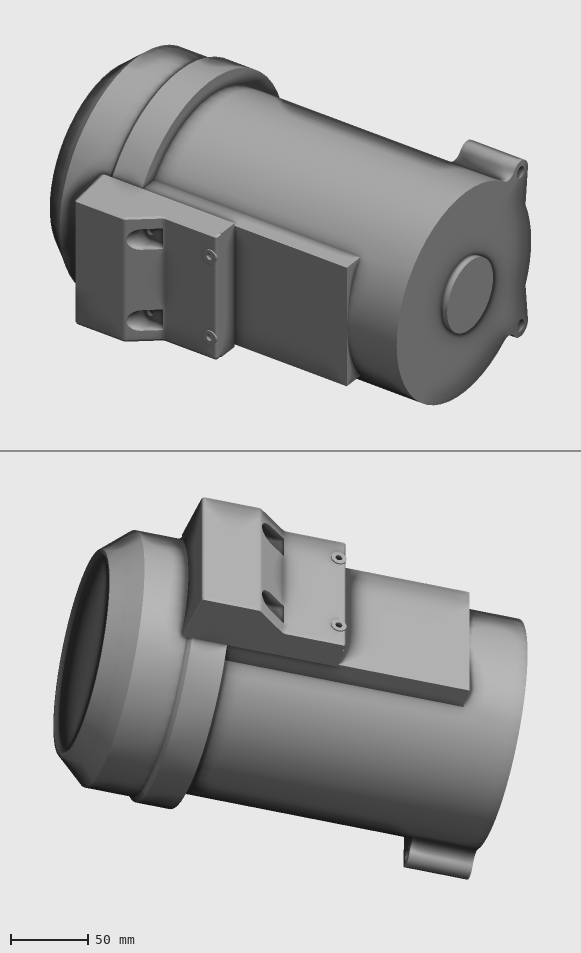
import cadquery as cq
import math


COVER_LENGTH = 77.0
RING_RADIUS = 88.0
RING_START = 53.5
BELL_RADIUS = 85.0
BELL_START = 19.0
RIM_RADIUS = 68.8
RECESS_MOUTH_RADIUS = 67.0
RECESS_FLOOR_RADIUS = 63.5
RECESS_DEPTH = 2.3

TOTAL_LENGTH = 283.0
HOUSING_RADIUS = 76.5
BOSS_RADIUS = 26.0
BOSS_LENGTH = 4.8
HOUSING_END = TOTAL_LENGTH - BOSS_LENGTH

PAD_END = 239.0
PAD_HALF_HEIGHT = 45.5
PAD_FACE_Y = -76.7
PAD_INNER_Y = -56.5

LUG_LENGTH = 42.5
LUG_RADIUS = 8.5
LUG_CENTRE_Y = 64.2
LUG_CENTRE_Z = 59.0
LUG_HOLE_RADIUS = 4.2
LUG_FOOT_Y = 70.0
LUG_BLEND_RADIUS = 8.0

BOX_HALF_HEIGHT = 47.5
BOX_END = 150.8
BASE_START = 90.3
BASE_FRONT_Y = -91.7
NOTCH_START = 104.1
NOTCH_END = 128.2
NOTCH_DEPTH = 3.7

LID_START = 46.5
LID_FRONT_START = 50.0
LID_FRONT_Y = -113.0
LID_LOW_Y = -97.0
SLOPE_START = 89.1
SLOPE_END = 109.2
LID_CORNER_RADIUS = 2.0
SLOPE_TOP_RADIUS = 4.2
SLOPE_FOOT_RADIUS = 5.5
LID_BEVEL_IN_PROFILE = 1.7
LID_BEVEL_IN_HEIGHT = 0.8

SCREW_Z = 31.0
POCKET_HOLE_X = 96.8
POCKET_HOLE_RADIUS = 2.8
POCKET_ARC_X = 98.2
POCKET_RADIUS = 8.0
POCKET_END = 109.0
POCKET_FLOOR_Y = -94.5
POCKET_FLOOR_FILLET = 2.3
EYE_RADIUS = 5.0
EYE_X = BOX_END - EYE_RADIUS
EYE_HEIGHT = 0.8
EYE_HOLE_RADIUS = 2.3


def block(x_range, y_range, half_height):
    """A box between two X and two Y values, centred on Z = 0."""
    return (
        cq.Workplane("XY", origin=(0, 0, -half_height))
        .moveTo(x_range[0], y_range[0])
        .rect(x_range[1] - x_range[0], y_range[1] - y_range[0], centered=False)
        .extrude(2 * half_height)
    )


def disc(radius, start_x, end_x):
    """A solid cylinder on the motor axis."""
    return cq.Workplane("YZ", origin=(start_x, 0, 0)).circle(radius).extrude(end_x - start_x)


def y_cylinder(radius, x, z, back_y, front_y):
    """A cylinder along Y, from back_y out to front_y on the -Y side."""
    return (
        cq.Workplane("XZ", origin=(0, back_y, 0))
        .center(x, z)
        .circle(radius)
        .extrude(back_y - front_y)
    )


def point_on_circle(centre_y, centre_z, radius, angle):
    """The (Y, Z) point at an angle, in radians from +Y, on a circle in the YZ plane."""
    return (centre_y + radius * math.cos(angle), centre_z + radius * math.sin(angle))


def make_fan_cover():
    """Revolve the bell, the raised ring and the dished end as one profile."""
    chamfer_start = RING_START - (RING_RADIUS - BELL_RADIUS)
    profile = [
        (RECESS_DEPTH, 0),
        (RECESS_DEPTH, RECESS_FLOOR_RADIUS),
        (0, RECESS_MOUTH_RADIUS),
        (0, RIM_RADIUS),
        (BELL_START, BELL_RADIUS),
        (chamfer_start, BELL_RADIUS),
        (RING_START, RING_RADIUS),
        (COVER_LENGTH, RING_RADIUS),
        (COVER_LENGTH, 0),
    ]
    return cq.Workplane("XZ").polyline(profile).close().revolve(360, (0, 0, 0), (1, 0, 0))


def make_upper_lug():
    """Rounded eye with one straight flank and one flank blended into the housing."""
    centre_distance = math.hypot(LUG_CENTRE_Y, LUG_CENTRE_Z)
    to_blend = HOUSING_RADIUS + LUG_BLEND_RADIUS
    eye_to_blend = LUG_RADIUS + LUG_BLEND_RADIUS
    cos_at_axis = (to_blend**2 + centre_distance**2 - eye_to_blend**2) / (2 * to_blend * centre_distance)
    blend_angle = math.atan2(LUG_CENTRE_Z, LUG_CENTRE_Y) + math.acos(cos_at_axis)
    blend_y, blend_z = point_on_circle(0, 0, to_blend, blend_angle)
    eye_angle = math.atan2(blend_z - LUG_CENTRE_Z, blend_y - LUG_CENTRE_Y)

    def on_eye(angle):
        return point_on_circle(LUG_CENTRE_Y, LUG_CENTRE_Z, LUG_RADIUS, angle)

    def on_blend(angle):
        return point_on_circle(blend_y, blend_z, LUG_BLEND_RADIUS, angle)

    from_eye = eye_angle + math.pi
    to_housing = blend_angle + math.pi
    foot_z = math.sqrt(HOUSING_RADIUS**2 - LUG_FOOT_Y**2)
    return (
        cq.Workplane("YZ", origin=(HOUSING_END - LUG_LENGTH, 0, 0))
        .moveTo(LUG_FOOT_Y, foot_z)
        .lineTo(*on_eye(0))
        .threePointArc(on_eye(eye_angle / 2), on_eye(eye_angle))
        .threePointArc(on_blend((from_eye + to_housing) / 2), on_blend(to_housing))
        .close()
        .moveTo(LUG_CENTRE_Y, LUG_CENTRE_Z)
        .circle(LUG_HOLE_RADIUS)
        .extrude(LUG_LENGTH)
    )


def make_housing():
    """Cylindrical barrel with the flat pad and the two lifting lugs."""
    barrel = disc(HOUSING_RADIUS, COVER_LENGTH, HOUSING_END)
    pad = block((COVER_LENGTH, PAD_END), (PAD_FACE_Y, PAD_INNER_Y), PAD_HALF_HEIGHT)
    upper_lug = make_upper_lug()
    lower_lug = upper_lug.mirror("XY")
    return barrel.union(pad).union(upper_lug).union(lower_lug)


def make_shaft_boss():
    return disc(BOSS_RADIUS, HOUSING_END, TOTAL_LENGTH)


def make_box_base():
    """Block on the pad, notched along its front face for the lid's tongue."""
    body = block((BASE_START, BOX_END), (BASE_FRONT_Y, PAD_FACE_Y), BOX_HALF_HEIGHT)
    notch = block((NOTCH_START, NOTCH_END), (BASE_FRONT_Y, BASE_FRONT_Y + NOTCH_DEPTH), BOX_HALF_HEIGHT)
    return body.cut(notch)


def make_lid_blank():
    """Full lid outline with its rounded edges and bevelled upper and lower rims."""
    outline = [
        (LID_START, PAD_FACE_Y),
        (LID_FRONT_START, LID_FRONT_Y),
        (SLOPE_START, LID_FRONT_Y),
        (SLOPE_END, LID_LOW_Y),
        (BOX_END, LID_LOW_Y),
        (BOX_END, PAD_FACE_Y),
    ]
    blank = (
        cq.Workplane("XY", origin=(0, 0, -BOX_HALF_HEIGHT))
        .polyline(outline)
        .close()
        .extrude(2 * BOX_HALF_HEIGHT)
    )
    rounded_corners = [
        (outline[1], LID_CORNER_RADIUS),
        (outline[2], SLOPE_TOP_RADIUS),
        (outline[3], SLOPE_FOOT_RADIUS),
        (outline[4], LID_CORNER_RADIUS),
    ]
    for (x, y), radius in rounded_corners:
        blank = blank.edges(cq.selectors.NearestToPointSelector((x, y, 0))).fillet(radius)
    return blank.faces("|Z").edges("not(>Y)").chamfer(LID_BEVEL_IN_HEIGHT, LID_BEVEL_IN_PROFILE)


def make_screw_pocket(z):
    """Round-ended pocket, open to the front, with a rounded floor."""
    return (
        cq.Workplane("XZ", origin=(0, POCKET_FLOOR_Y, 0))
        .moveTo(POCKET_END, z - POCKET_RADIUS)
        .lineTo(POCKET_ARC_X, z - POCKET_RADIUS)
        .threePointArc((POCKET_ARC_X - POCKET_RADIUS, z), (POCKET_ARC_X, z + POCKET_RADIUS))
        .lineTo(POCKET_END, z + POCKET_RADIUS)
        .close()
        .extrude(POCKET_FLOOR_Y - LID_FRONT_Y)
        .faces(">Y")
        .edges()
        .fillet(POCKET_FLOOR_FILLET)
    )


def make_box_lid():
    """Stepped lid over the base, shaped around the fan cover ring."""
    lid = make_lid_blank().cut(make_box_base()).cut(disc(RING_RADIUS, 0, COVER_LENGTH))
    for z in (-SCREW_Z, SCREW_Z):
        eye_front_y = LID_LOW_Y - EYE_HEIGHT
        lid = lid.union(y_cylinder(EYE_RADIUS, EYE_X, z, BASE_FRONT_Y, eye_front_y))
        lid = lid.cut(make_screw_pocket(z))
        lid = lid.cut(y_cylinder(EYE_HOLE_RADIUS, EYE_X, z, BASE_FRONT_Y, eye_front_y))
        lid = lid.cut(y_cylinder(POCKET_HOLE_RADIUS, POCKET_HOLE_X, z, BASE_FRONT_Y, POCKET_FLOOR_Y))
    return lid


fan_cover = make_fan_cover()
housing = make_housing()
shaft_boss = make_shaft_boss()
box_base = make_box_base()
box_lid = make_box_lid()

result = cq.Compound.makeCompound(
    [fan_cover.val(), housing.val(), shaft_boss.val(), box_base.val(), box_lid.val()]
)